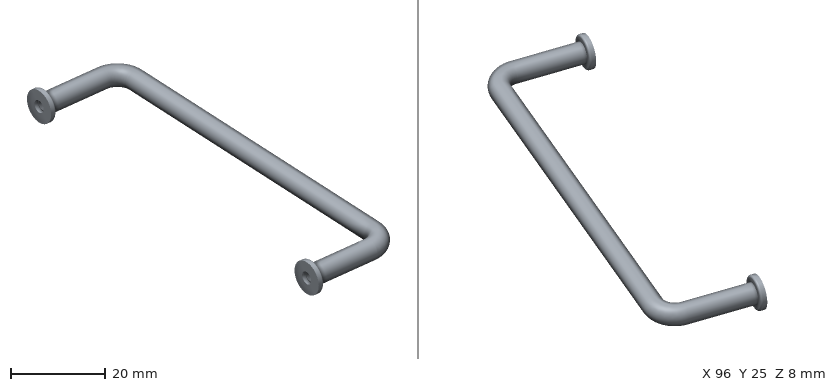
import cadquery as cq
import math

overall_length = 96.0
overall_depth = 25.0
rod_diameter = 5.0
bend_radius = 5.0

flange_diameter = 8.0
flange_thickness = 1.4
rim_radius = 0.5

hole_diameter = 2.5
hole_depth = 9.6
hole_mouth_diameter = 3.0
hole_mouth_depth = 1.0
drill_point_angle = 118.0

leg_x = (overall_length - flange_diameter) / 2
bar_y = overall_depth - rod_diameter / 2


def bent_rod():
    """Round rod swept along a U-shaped centreline in the XY plane."""
    bend_start_y = bar_y - bend_radius
    bend_end_x = leg_x - bend_radius
    centreline = (
        cq.Workplane("XY")
        .moveTo(-leg_x, 0)
        .lineTo(-leg_x, bend_start_y)
        .tangentArcPoint((-bend_end_x, bar_y), relative=False)
        .lineTo(bend_end_x, bar_y)
        .tangentArcPoint((leg_x, bend_start_y), relative=False)
        .lineTo(leg_x, 0)
    )
    profile = cq.Workplane("XZ", origin=(-leg_x, 0, 0)).circle(rod_diameter / 2)
    return profile.sweep(centreline)


def leg_disc(x, diameter, depth):
    """Cylinder on a leg axis, running from the mounting face in +Y."""
    return cq.Workplane("XZ", origin=(x, 0, 0)).circle(diameter / 2).extrude(-depth)


def flange(x):
    """Mounting disc with its rim rounded on the rod side."""
    return leg_disc(x, flange_diameter, flange_thickness).faces(">Y").edges().fillet(rim_radius)


def screw_hole(x):
    """Blind screw hole with a conical bottom and a wider bore at the mouth."""
    tip_height = hole_diameter / 2 / math.tan(math.radians(drill_point_angle / 2))
    drilled = (
        cq.Workplane("XY", origin=(x, 0, 0))
        .lineTo(hole_diameter / 2, 0)
        .lineTo(hole_diameter / 2, hole_depth)
        .lineTo(0, hole_depth + tip_height)
        .close()
        .revolve(360, (0, 0, 0), (0, 1, 0))
    )
    return drilled.union(leg_disc(x, hole_mouth_diameter, hole_mouth_depth))


result = bent_rod()
for x in (-leg_x, leg_x):
    result = result.union(flange(x))
    result = result.cut(screw_hole(x))